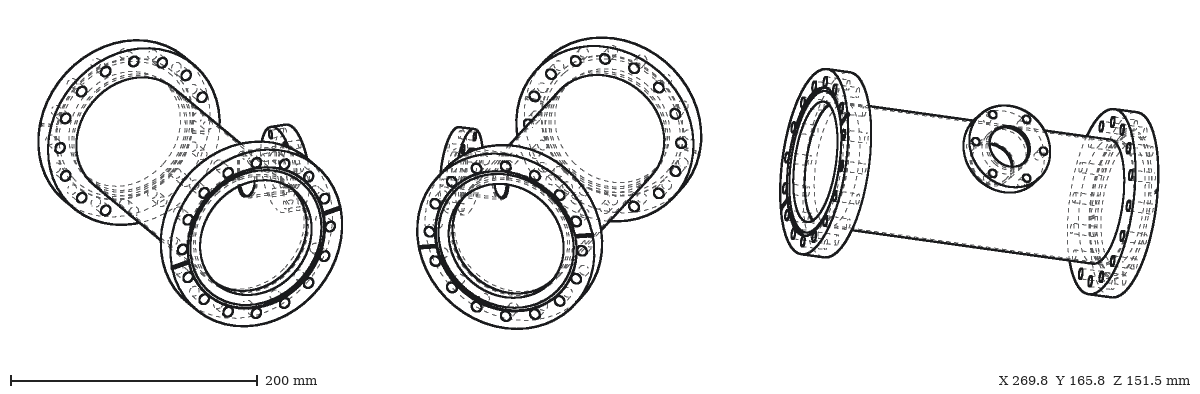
import cadquery as cq
import math

overall_length = 269.8
half_length = overall_length / 2
branch_face_y = 90.0

wall = 1.5
main_tube_diameter = 101.7
main_bore = main_tube_diameter - 2 * wall
branch_tube_diameter = 38.3
branch_bore = branch_tube_diameter - 2 * wall

main_flange_diameter = 151.5
main_flange_thickness = 20.0
main_bolt_circle = 130.3
main_bolt_hole = 8.4
main_bolt_count = 16

branch_flange_diameter = 70.5
branch_flange_thickness = 13.0
branch_bolt_circle = 58.8
branch_bolt_hole = 6.5
branch_bolt_count = 6

socket_depth = 9.0

recess_diameter = 121.1
seal_edge_diameter = 115.7
seal_flat_depth = 1.0
seal_slope_angle = 20.0

groove_width = 2.0
groove_depth = 1.0
groove_angle = 90 + 180 / main_bolt_count


def make_flange(diameter, thickness, bore, tube_diameter, bolt_circle, bolt_hole, bolt_count):
    """Flange with its back on Z = 0, its face at Z = thickness and a tube socket in the back."""
    disc = cq.Workplane("XY").circle(diameter / 2).circle(bore / 2).extrude(thickness)
    socket = cq.Workplane("XY").circle(tube_diameter / 2).extrude(socket_depth)
    bolt_holes = (
        cq.Workplane("XY")
        .polarArray(bolt_circle / 2, 0, 360, bolt_count)
        .circle(bolt_hole / 2)
        .extrude(thickness)
    )
    return disc.cut(socket).cut(bolt_holes)


def make_seal_recess(face_z):
    """Ring-shaped recess: flat floor inside, sloping down to the outer wall."""
    edge_radius = seal_edge_diameter / 2
    outer_radius = recess_diameter / 2
    flat_z = face_z - seal_flat_depth
    outer_z = flat_z - (outer_radius - edge_radius) * math.tan(math.radians(seal_slope_angle))
    return (
        cq.Workplane("XZ")
        .moveTo(0, face_z)
        .lineTo(outer_radius, face_z)
        .lineTo(outer_radius, outer_z)
        .lineTo(edge_radius, flat_z)
        .lineTo(0, flat_z)
        .close()
        .revolve(360, (0, 0, 0), (0, 1, 0))
    )


def make_leak_grooves(face_z):
    """Two opposite radial grooves running from the recess to the rim."""
    bar = (
        cq.Workplane("XY", origin=(0, 0, face_z - groove_depth))
        .rect(main_flange_diameter, groove_width)
        .extrude(groove_depth)
    )
    inside_recess = (
        cq.Workplane("XY", origin=(0, 0, face_z - groove_depth))
        .circle(recess_diameter / 2)
        .extrude(groove_depth)
    )
    return bar.cut(inside_recess).rotate((0, 0, 0), (0, 0, 1), groove_angle)


def make_main_flange(turn):
    """Flange on the +X end, turned about Z by the given angle to reach its own end."""
    flange = make_flange(
        main_flange_diameter, main_flange_thickness, main_bore, main_tube_diameter,
        main_bolt_circle, main_bolt_hole, main_bolt_count,
    )
    flange = flange.cut(make_seal_recess(main_flange_thickness))
    flange = flange.cut(make_leak_grooves(main_flange_thickness))
    flange = flange.rotate((0, 0, 0), (0, 1, 0), 90)
    flange = flange.translate((half_length - main_flange_thickness, 0, 0))
    return flange.rotate((0, 0, 0), (0, 0, 1), turn)


def make_branch_flange():
    flange = make_flange(
        branch_flange_diameter, branch_flange_thickness, branch_bore, branch_tube_diameter,
        branch_bolt_circle, branch_bolt_hole, branch_bolt_count,
    )
    flange = flange.rotate((0, 0, 0), (1, 0, 0), -90)
    return flange.translate((0, branch_face_y - branch_flange_thickness, 0))


def make_main_tube():
    """Open tube with a round opening into the branch."""
    half_tube = half_length - main_flange_thickness + socket_depth
    tube = (
        cq.Workplane("YZ", origin=(-half_tube, 0, 0))
        .circle(main_tube_diameter / 2)
        .circle(main_bore / 2)
        .extrude(2 * half_tube)
    )
    opening = cq.Workplane("XZ").circle(branch_bore / 2).extrude(-main_tube_diameter)
    return tube.cut(opening)


def make_branch_tube():
    """Tube from the branch flange socket down to a saddle on the main tube."""
    outer_end_y = branch_face_y - branch_flange_thickness + socket_depth
    tube = (
        cq.Workplane("XZ")
        .circle(branch_tube_diameter / 2)
        .circle(branch_bore / 2)
        .extrude(-outer_end_y)
    )
    saddle = (
        cq.Workplane("YZ", origin=(-branch_tube_diameter, 0, 0))
        .circle(main_tube_diameter / 2)
        .extrude(2 * branch_tube_diameter)
    )
    return tube.cut(saddle)


main_flanges = [make_main_flange(turn) for turn in (0, 180)]
main_tube = make_main_tube()
branch_tube = make_branch_tube()
branch_flange = make_branch_flange()

result = cq.Compound.makeCompound([
    *[flange.solids().val() for flange in main_flanges],
    main_tube.solids().val(),
    branch_tube.solids().val(),
    branch_flange.solids().val(),
])